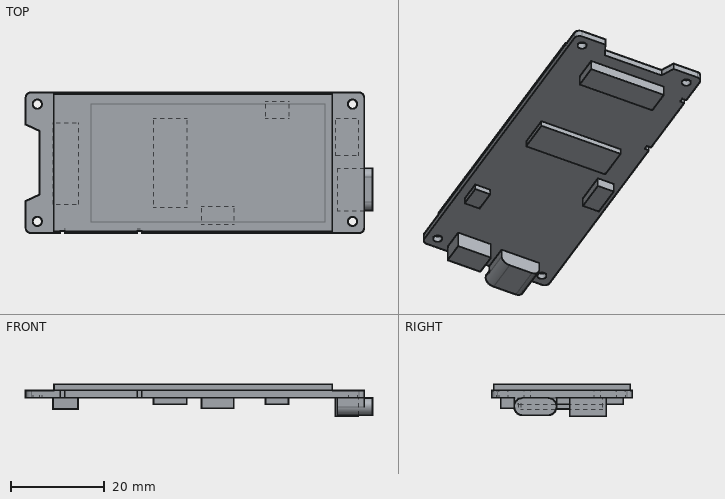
import cadquery as cq


overall_height = 6.89

board_length = 72.2
board_width = 30.03
board_thickness = 1.6
corner_radius = 1.2

cutout_depth = 2.95
cutout_outer_width = 16.3
cutout_inner_width = 13.55

hole_diameter = 1.92
hole_edge_distance = 2.52
hole_pitch_x = board_length - 2 * hole_edge_distance
hole_pitch_y = board_width - 2 * hole_edge_distance

slit_starts = (7.4, 23.85)
slit_width = 0.94
slit_depth = 1.0

panel_start = 6.05
panel_length = 59.32
panel_width = 29.16
panel_thickness = 1.35
active_start = 13.9
active_length = 49.9
active_width = 25.15

battery_socket = (5.85, 5.36, -0.12, 17.4, 2.4)
wide_chip = (27.25, 7.15, 0.0, 18.96, 1.35)
edge_switch = (37.45, 6.95, -11.2, 3.8, 2.23)
small_chip = (51.1, 4.95, 11.27, 3.58, 1.35)
rear_block_height = overall_height - board_thickness - panel_thickness
rear_block = (66.0, 4.95, 5.55, 7.85, rear_block_height)

usb_start = 66.45
usb_end = 73.94
usb_center_y = -5.68
usb_width = 9.04
usb_height = 3.72
usb_radius = usb_height / 2


def block(start_x, length, center_y, width, height, bottom_z):
    """Rectangular block placed by its left face, centre line and bottom."""
    shape = cq.Workplane("XY").box(length, width, height, centered=(False, True, False))
    return shape.translate((start_x, center_y, bottom_z))


def hanging_block(start_x, length, center_y, width, height):
    """Rectangular component hanging from the underside of the board."""
    return block(start_x, length, center_y, width, height, -height)


def make_board():
    board = block(0, board_length, 0, board_width, board_thickness, 0)
    board = board.edges("|Z").fillet(corner_radius)

    cutout = (
        cq.Workplane("XY")
        .moveTo(0, -cutout_outer_width / 2)
        .lineTo(cutout_depth, -cutout_inner_width / 2)
        .lineTo(cutout_depth, cutout_inner_width / 2)
        .lineTo(0, cutout_outer_width / 2)
        .close()
        .extrude(board_thickness)
    )
    holes = (
        cq.Workplane("XY")
        .center(board_length / 2, 0)
        .rect(hole_pitch_x, hole_pitch_y, forConstruction=True)
        .vertices()
        .circle(hole_diameter / 2)
        .extrude(board_thickness)
    )
    board = board.cut(cutout).cut(holes)
    slit_center_y = (slit_depth - board_width) / 2
    for start in slit_starts:
        board = board.cut(block(start, slit_width, slit_center_y, slit_depth, board_thickness, 0))
    return board


def make_panel():
    """Display panel whose active area stays a separate face of its flat top."""
    panel = block(panel_start, panel_length, 0, panel_width, panel_thickness, board_thickness)
    active = block(active_start, active_length, 0, active_width, panel_thickness, board_thickness)
    return panel.cut(active).union(active, clean=False)


def make_usb_socket():
    """Shell with rounded sides, joined to the board by a square-sided shoulder."""
    shell = (
        cq.Workplane("YZ", origin=(usb_start, usb_center_y, -usb_radius))
        .slot2D(usb_width, usb_height)
        .extrude(usb_end - usb_start)
    )
    shoulder = hanging_block(
        usb_start, board_length - usb_start, usb_center_y, usb_width, usb_radius
    )
    return shell.union(shoulder)


result = make_board()
for component in (battery_socket, wide_chip, edge_switch, small_chip, rear_block):
    result = result.union(hanging_block(*component))
result = result.union(make_usb_socket())
result = result.union(make_panel(), clean=False)